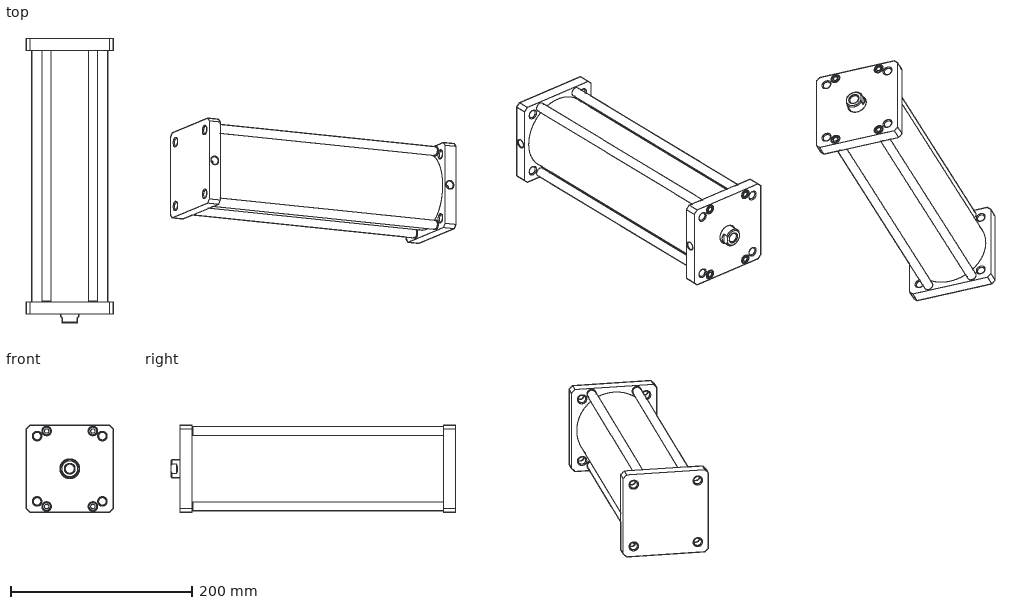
import cadquery as cq
import math


plate_side = 96.0
plate_thickness = 13.5
plate_corner_chamfer = 4.0

tube_outer_diameter = 84.0
tube_inner_diameter = 80.0
tube_length = 277.0

plate_thread_diameter = 8.38
plate_thread_countersink = 10.5
mount_spacing = 72.0

port_diameter = 8.57
port_countersink = 9.7
port_depth = 15.0
port_bar_diameter = 5.0
front_port_inset = 6.0
rear_port_inset = plate_thickness / 2

tie_rod_diameter = 10.0
tie_rod_spacing_x = 51.0
tie_rod_spacing_z = 83.2
tie_rod_thread_diameter = 4.92
tie_rod_thread_depth = 12.0
drill_point_angle = 118.0

rod_diameter = 20.0
rod_projection = 10.0
rod_tip_chamfer = 1.2
rod_flat_width = 17.0
rod_flat_start = 2.5
rod_thread_diameter = 10.11
rod_thread_countersink = 12.0
rod_thread_depth = 20.0
rod_thread_point_angle = 165.0
rod_bore_diameter = 20.6
rod_bore_countersink = 21.9

rear_plate_y = plate_thickness + tube_length
along_y = cq.Vector(0, 1, 0)
along_x = cq.Vector(1, 0, 0)


def cylinder(diameter, length, start, direction=along_y):
    return cq.Workplane(cq.Solid.makeCylinder(diameter / 2, length, cq.Vector(*start), direction))


def cone(start_diameter, end_diameter, length, start, direction=along_y):
    solid = cq.Solid.makeCone(start_diameter / 2, end_diameter / 2, length, cq.Vector(*start), direction)
    return cq.Workplane(solid)


def taper(wide, narrow, start, direction=along_y):
    """45-degree cone, wide end at start."""
    return cone(wide, narrow, (wide - narrow) / 2, start, direction)


def pointed_hole(diameter, depth, point_angle, start, direction=along_y):
    """Blind drilled hole with a conical bottom below its full-diameter depth."""
    point_length = diameter / 2 / math.tan(math.radians(point_angle / 2))
    point_start = cq.Vector(*start) + direction * depth
    point = cone(diameter, 0, point_length, point_start.toTuple(), direction)
    return cylinder(diameter, depth, start, direction).union(point)


def corners(spacing_x, spacing_z):
    return [(sx * spacing_x / 2, sz * spacing_z / 2) for sx in (-1, 1) for sz in (-1, 1)]


mount_places = corners(mount_spacing, mount_spacing)
tie_rod_places = corners(tie_rod_spacing_x, tie_rod_spacing_z)


def plate_blank(y_start):
    return (
        cq.Workplane("XY")
        .box(plate_side, plate_thickness, plate_side)
        .edges("|Y")
        .chamfer(plate_corner_chamfer)
        .translate((0, y_start + plate_thickness / 2, 0))
    )


def cut_tapped_holes(plate, places, y_start):
    for x, z in places:
        front = (x, y_start, z)
        back = (x, y_start + plate_thickness, z)
        plate = plate.cut(cylinder(plate_thread_diameter, plate_thickness, front))
        plate = plate.cut(taper(plate_thread_countersink, plate_thread_diameter, front))
        plate = plate.cut(taper(plate_thread_countersink, plate_thread_diameter, back, -along_y))
    return plate


def cut_port(plate, port_y):
    mouth = (-plate_side / 2, port_y, 0)
    port = pointed_hole(port_diameter, port_depth, drill_point_angle, mouth, along_x)
    plate = plate.cut(taper(port_countersink, port_diameter, mouth, along_x))
    bar_start = (port_depth - plate_side / 2, port_y - port_diameter / 2, 0)
    return plate.cut(port.cut(cylinder(port_bar_diameter, port_diameter, bar_start)))


def make_front_plate():
    plate = cut_tapped_holes(plate_blank(0), mount_places + tie_rod_places, 0)
    plate = plate.cut(cylinder(rod_bore_diameter, plate_thickness, (0, 0, 0)))
    plate = plate.cut(taper(rod_bore_countersink, rod_bore_diameter, (0, 0, 0)))
    return cut_port(plate, plate_thickness - front_port_inset)


def make_rear_plate():
    plate = cut_tapped_holes(plate_blank(rear_plate_y), mount_places, rear_plate_y)
    return cut_port(plate, rear_plate_y + rear_port_inset)


def make_tube():
    start = (0, plate_thickness, 0)
    return cylinder(tube_outer_diameter, tube_length, start).cut(
        cylinder(tube_inner_diameter, tube_length, start)
    )


def make_tie_rod(x, z):
    shoulder_length = (tie_rod_diameter - plate_thread_diameter) / 2
    shoulder_y = plate_thickness + shoulder_length
    front = (x, 0, z)
    rod = cylinder(tie_rod_diameter, rear_plate_y - shoulder_y, (x, shoulder_y, z))
    rod = rod.union(taper(tie_rod_diameter, plate_thread_diameter, (x, shoulder_y, z), -along_y))
    rod = rod.union(cylinder(plate_thread_diameter, plate_thickness, front))
    return rod.cut(pointed_hole(tie_rod_thread_diameter, tie_rod_thread_depth, drill_point_angle, front))


def rod_flat_cutter(side):
    """Prism that mills one wrench flat, with a 45-degree run-out toward the plate."""
    flat_x = side * rod_flat_width / 2
    outer_x = side * rod_diameter / 2
    run_out = (rod_diameter - rod_flat_width) / 2
    return (
        cq.Workplane("XY")
        .moveTo(flat_x, -rod_projection)
        .lineTo(flat_x, -rod_flat_start - run_out)
        .lineTo(outer_x, -rod_flat_start)
        .lineTo(outer_x, -rod_projection)
        .close()
        .extrude(rod_diameter / 2, both=True)
    )


def make_piston_rod():
    tip = (0, -rod_projection, 0)
    rod = cylinder(rod_diameter, rod_projection + rear_plate_y, tip)
    rod = rod.faces("<Y").chamfer(rod_tip_chamfer)
    rod = rod.cut(pointed_hole(rod_thread_diameter, rod_thread_depth, rod_thread_point_angle, tip))
    rod = rod.cut(taper(rod_thread_countersink, rod_thread_diameter, tip))
    for side in (-1, 1):
        rod = rod.cut(rod_flat_cutter(side))
    return rod


front_plate = make_front_plate()
rear_plate = make_rear_plate()
tube = make_tube()
tie_rods = [make_tie_rod(x, z).val() for x, z in tie_rod_places]
piston_rod = make_piston_rod()

result = cq.Compound.makeCompound(
    [front_plate.val(), rear_plate.val(), tube.val(), *tie_rods, piston_rod.val()]
)